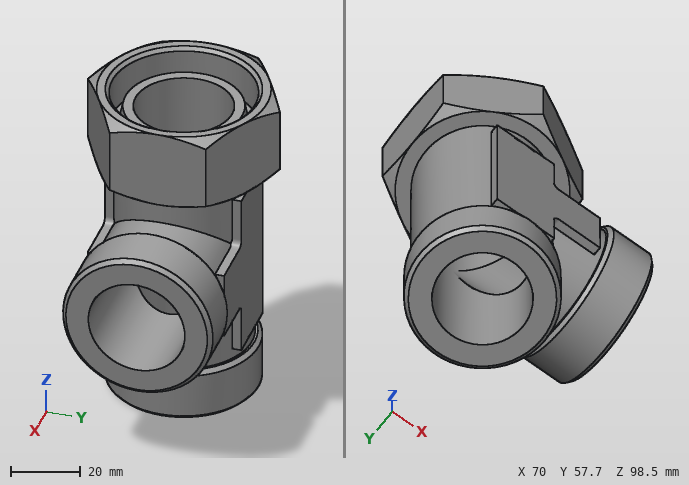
import cadquery as cq
import math

height = 98.5
branch_reach = 45.0
branch_height = branch_reach

bore_diameter = 29.0
body_diameter = 41.0
collar_diameter = 45.0
collar_length = 16.2
collar_chamfer = 1.3

pad_half_width = 10.2
pad_half_length = 25.5
pad_reach = 26.7
pad_corner_radius = 2.0

nut_height = 23.9
nut_across_corners = 57.7
nut_half_side_angle = 30.0
nut_across_flats = nut_across_corners * math.cos(math.radians(nut_half_side_angle))
nut_chamfer_angle = 30.0
nut_bore_diameter = 42.8
nut_mouth_diameter = 45.0
nut_floor_depth = 12.6

nose_tip_diameter = 35.0
nose_base_diameter = 38.0
nose_tip_depth = 5.7

nut_bottom = height - nut_height
nose_tip_height = height - nose_tip_depth
nose_base_height = height - nut_floor_depth


def collared_pipe(length):
    """Solid pipe along +Z with a chamfered collar at its far end."""
    pipe = cq.Workplane("XY").circle(body_diameter / 2).extrude(length)
    collar = (
        cq.Workplane("XY")
        .workplane(offset=length - collar_length)
        .circle(collar_diameter / 2)
        .extrude(collar_length)
        .faces("<Z or >Z")
        .chamfer(collar_chamfer)
    )
    return pipe.union(collar)


def turned(profile):
    """Revolve (radius, height) points about the Z axis."""
    return cq.Workplane("XZ").polyline(profile).close().revolve(360, (0, 0), (0, 1))


def make_pads():
    """T-shaped block whose front and back faces touch the pipe surfaces."""
    run = cq.Workplane("XY").box(2 * pad_half_width, body_diameter, 2 * pad_half_length)
    arm = cq.Workplane("XY").box(
        pad_reach, body_diameter, 2 * pad_half_width, centered=(False, True, True)
    )
    margin = pad_corner_radius / 2
    inner_corners = cq.selectors.BoxSelector(
        (pad_half_width - margin, -margin, -pad_half_width - margin),
        (pad_half_width + margin, margin, pad_half_width + margin),
    )
    block = run.union(arm).edges("|Y").edges(inner_corners).fillet(pad_corner_radius)
    return block.translate((0, 0, branch_height))


def make_nut():
    """Hexagon with conical chamfers at both ends, open at the top."""
    hexagon = (
        cq.Workplane("XY")
        .workplane(offset=nut_bottom)
        .polygon(6, nut_across_corners)
        .extrude(nut_height)
        .rotate((0, 0, 0), (0, 0, 1), nut_half_side_angle)
    )
    flat_radius = nut_across_flats / 2
    corner_radius = nut_across_corners / 2
    drop = (corner_radius - flat_radius) * math.tan(math.radians(nut_chamfer_angle))
    envelope = turned([
        (0, nut_bottom),
        (flat_radius, nut_bottom),
        (corner_radius, nut_bottom + drop),
        (corner_radius, height - drop),
        (flat_radius, height),
        (0, height),
    ])
    mouth_chamfer = (nut_mouth_diameter - nut_bore_diameter) / 2
    cavity = turned([
        (0, nose_base_height),
        (nut_bore_diameter / 2, nose_base_height),
        (nut_bore_diameter / 2, height - mouth_chamfer),
        (nut_mouth_diameter / 2, height),
        (0, height),
    ])
    return hexagon.intersect(envelope).cut(cavity)


def make_nose():
    """Cone standing on the floor of the nut cavity."""
    return turned([
        (0, nose_base_height),
        (nose_base_diameter / 2, nose_base_height),
        (nose_tip_diameter / 2, nose_tip_height),
        (0, nose_tip_height),
    ])


run_pipe = collared_pipe(nut_bottom).rotate((0, 0, 0), (1, 0, 0), 180).translate((0, 0, nut_bottom))

branch_pipe = (
    collared_pipe(branch_reach)
    .rotate((0, 0, 0), (0, 1, 0), 90)
    .translate((0, 0, branch_height))
)

run_bore = cq.Workplane("XY").circle(bore_diameter / 2).extrude(height)
branch_bore = (
    cq.Workplane("YZ")
    .center(0, branch_height)
    .circle(bore_diameter / 2)
    .extrude(branch_reach)
)

result = (
    run_pipe.union(branch_pipe)
    .union(make_pads())
    .union(make_nut())
    .union(make_nose())
    .cut(run_bore)
    .cut(branch_bore)
)